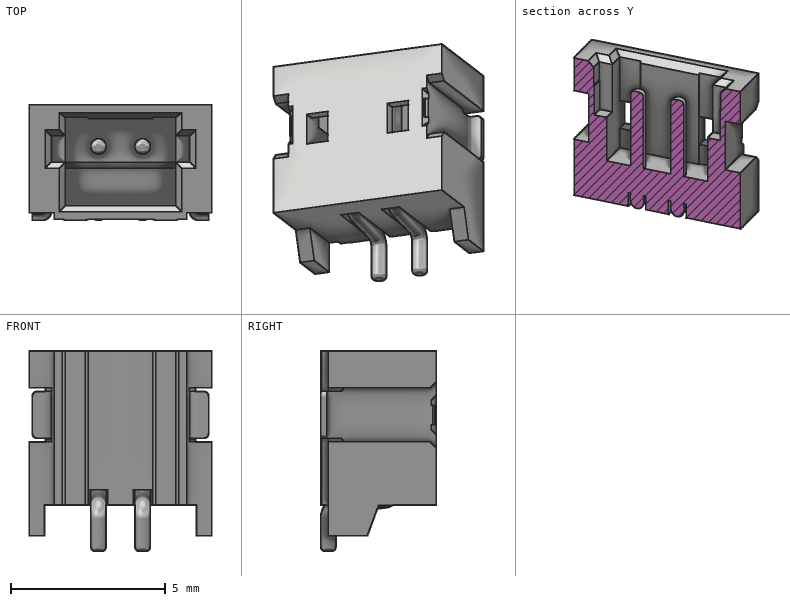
import cadquery as cq
import math


SIDES = (-1, 1)

top_z = 6.5
housing_width = 5.92
housing_depth = 3.505
housing_bottom = 1.5
front_pad_width = 4.3
front_pad_thickness = 0.21
rib_height = 0.03
rib_inner = 1.04
rib_outer = 1.885
rib_ramp = 0.1

leg_thickness = 0.5
leg_bottom = 0.5
leg_back_top = 1.865
leg_back_bottom = 2.235

cavity_half_width = 1.79
cavity_back = 0.41
cavity_front = 3.27
cavity_back_floor = 3.0
cavity_front_floor = 2.5
key_half_width = 2.25
key_back = 1.01
key_front = 1.86
key_floor = 4.58
mouth_depth = 0.2
mouth_bevel = 0.195
mouth_back_bevel = 0.14
floor_slope_length = 0.2
back_panel_half_width = 1.04
back_panel_thickness = 0.04

window_top = 4.72
window_bottom = 3.705

notch_bottom = 3.55
notch_top = 5.3
notch_flare = 0.2
notch_floor = 2.43
notch_middle = (notch_bottom + notch_top) / 2

plate_thickness = 0.2
plate_inner = notch_floor - plate_thickness
plate_top_in_key = 5.64
tab_bottom = 3.665
tab_top = 5.19
tab_tip = 2.86
tab_front = 3.75
tab_bend_radius = 0.31
tab_corner_radius = 0.16
shoulder_y = 3.02
shoulder_radius = 0.1

nick_half_height = 0.645
nick_depth = 0.16
nick_rib_half_height = 0.32
nick_rib_front = 0.11
nick_rib_back = 0.045

pin_diameter = 0.5
pin_radius = pin_diameter / 2
pin_offset = 0.715
pin_back_y = 1.35
pin_front_y = tab_front - pin_radius
pin_tip_top = 5.74
pin_upper_bend_z = 2.04
pin_lower_bend_z = 1.1
pin_bend_radius = 0.39
pin_end_radius = 0.155
pin_slot_width = 0.62
pin_slot_top = 1.995


def box(x_range, y_range, z_range):
    """Box between two limits on each axis, given in either order."""
    limits = [sorted(pair) for pair in (x_range, y_range, z_range)]
    sizes = [high - low for low, high in limits]
    corner = tuple(low for low, high in limits)
    return cq.Workplane("XY").box(*sizes, centered=False).translate(corner)


def prism_along_x(points, x_range):
    """Outline of (y, z) points extruded between two X positions."""
    start, end = sorted(x_range)
    return cq.Workplane("YZ").workplane(offset=start).polyline(points).close().extrude(end - start)


def prism_along_z(points, z_range):
    """Outline of (x, y) points extruded between two heights."""
    start, end = z_range
    return cq.Workplane("XY").workplane(offset=start).polyline(points).close().extrude(end - start)


def make_shell():
    """Solid housing block with the ribbed front pad and the two legs."""
    half = housing_width / 2
    wall_z = (housing_bottom, top_z)
    pad_y = -housing_depth - front_pad_thickness
    shell = box((-half, half), (-housing_depth, 0), wall_z)
    pad_x = (-front_pad_width / 2, front_pad_width / 2)
    shell = shell.union(box(pad_x, (pad_y, -housing_depth), wall_z))
    leg = [
        (-housing_depth, housing_bottom),
        (-housing_depth, leg_bottom),
        (-leg_back_bottom, leg_bottom),
        (-leg_back_top, housing_bottom),
    ]
    for side in SIDES:
        rib = [
            (side * rib_inner, pad_y),
            (side * (rib_inner + rib_ramp), pad_y - rib_height),
            (side * (rib_outer - rib_ramp), pad_y - rib_height),
            (side * rib_outer, pad_y),
        ]
        shell = shell.union(prism_along_z(rib, wall_z))
        shell = shell.union(prism_along_x(leg, (side * (half - leg_thickness), side * half)))
    return shell


def mouth_outline(bevel, back_bevel):
    """Cavity outline with both key slots, grown outwards by the given bevels."""
    inner = cavity_half_width + bevel
    outer = key_half_width + bevel
    front = -cavity_front - bevel
    back = -cavity_back + back_bevel
    slot_front = -key_front - bevel
    slot_back = -key_back + bevel
    right = [
        (inner, front),
        (inner, slot_front),
        (outer, slot_front),
        (outer, slot_back),
        (inner, slot_back),
        (inner, back),
    ]
    return right + [(-x, y) for x, y in reversed(right)]


def make_cavity():
    """Stepped cavity with a bevelled mouth, key slots and back windows."""
    mouth_z = top_z - mouth_depth
    cavity = (
        cq.Workplane("XY").workplane(offset=mouth_z)
        .polyline(mouth_outline(0, 0)).close()
        .workplane(offset=mouth_depth)
        .polyline(mouth_outline(mouth_bevel, mouth_back_bevel)).close()
        .loft(ruled=True)
    )
    profile = [
        (-cavity_back, mouth_z),
        (-cavity_back, cavity_back_floor),
        (-key_front, cavity_back_floor),
        (-key_front - floor_slope_length, cavity_front_floor),
        (-cavity_front, cavity_front_floor),
        (-cavity_front, mouth_z),
    ]
    cavity = cavity.union(prism_along_x(profile, (-cavity_half_width, cavity_half_width)))
    panel_y = -cavity_back - back_panel_thickness
    panel = [
        (-cavity_back, cavity_back_floor),
        (panel_y, cavity_back_floor),
        (panel_y, mouth_z - back_panel_thickness * mouth_depth / mouth_back_bevel),
        (-cavity_back, mouth_z),
    ]
    cavity = cavity.cut(prism_along_x(panel, (-back_panel_half_width, back_panel_half_width)))

    key_y = (-key_front, -key_back)
    upper_key = box((-key_half_width, key_half_width), key_y, (plate_top_in_key, mouth_z))
    lower_key = box((-plate_inner, plate_inner), key_y, (key_floor, plate_top_in_key))
    cavity = cavity.union(upper_key).union(lower_key)

    for side in SIDES:
        window_x = (side * back_panel_half_width, side * cavity_half_width)
        cavity = cavity.union(box(window_x, (-cavity_back, 0), (window_bottom, window_top)))
    return cavity


def make_notch(side):
    """Side notch flared at the back, with clearance above and below the tab."""
    outside = side * housing_width / 2
    outline = [
        (0, notch_top + notch_flare),
        (-notch_flare, notch_top),
        (-housing_depth, notch_top),
        (-housing_depth, notch_bottom),
        (-notch_flare, notch_bottom),
        (0, notch_bottom - notch_flare),
    ]
    notch = prism_along_x(outline, (side * notch_floor, outside))
    clearance_x = (side * plate_inner, side * notch_floor)
    clearance_y = (-housing_depth, -shoulder_y)
    for z_range, corner in (((tab_top, notch_top), "<Z"), ((notch_bottom, tab_bottom), ">Z")):
        clearance = box(clearance_x, clearance_y, z_range)
        notch = notch.union(clearance.faces(">Y").edges(corner).fillet(shoulder_radius))
    return notch


def make_nick(side):
    """Nick bevelled at 45 degrees in the back edge of the notch floor, less its middle rib."""
    inner = side * (notch_floor - nick_depth)
    floor = side * notch_floor
    outline = [
        (0, notch_middle + nick_half_height),
        (-nick_depth, notch_middle + nick_half_height - nick_depth),
        (-nick_depth, notch_middle - nick_half_height + nick_depth),
        (0, notch_middle - nick_half_height),
    ]
    wedge = [(inner, 0), (floor, 0), (floor, -nick_depth)]
    wedge_z = (notch_middle - nick_half_height, notch_middle + nick_half_height)
    nick = prism_along_x(outline, (inner, floor)).intersect(prism_along_z(wedge, wedge_z))
    rib = [
        (floor, -nick_depth),
        (floor, -nick_rib_front),
        (floor - side * (nick_rib_front - nick_rib_back), -nick_rib_back),
        (floor - side * (nick_depth - nick_rib_back), -nick_rib_back),
    ]
    rib_z = (notch_middle - nick_rib_half_height, notch_middle + nick_rib_half_height)
    return nick.cut(prism_along_z(rib, rib_z))


def make_tab(side):
    """Bent front end of the solder tab, reaching out of the side wall."""
    bend_y = -tab_front + tab_bend_radius
    bend_x = plate_inner + tab_bend_radius
    inner_radius = tab_bend_radius - plate_thickness
    tab = (
        cq.Workplane("XY").workplane(offset=tab_bottom)
        .moveTo(plate_inner, -shoulder_y)
        .lineTo(plate_inner, bend_y)
        .radiusArc((bend_x, -tab_front), -tab_bend_radius)
        .lineTo(tab_tip, -tab_front)
        .lineTo(tab_tip, -tab_front + plate_thickness)
        .lineTo(bend_x, -tab_front + plate_thickness)
        .radiusArc((notch_floor, bend_y), inner_radius)
        .lineTo(notch_floor, -shoulder_y)
        .close()
        .extrude(tab_top - tab_bottom)
        .faces(">X").edges("|Y").fillet(tab_corner_radius)
    )
    return tab if side > 0 else tab.mirror("YZ")


def make_pin(x):
    """Round pin: up through the cavity, sloping forward under the floor and down at the front."""
    upper_y = -pin_back_y - pin_bend_radius
    lower_y = -pin_front_y + pin_bend_radius
    forward = upper_y - lower_y
    drop = pin_upper_bend_z - pin_lower_bend_z
    slope = math.atan2(drop, forward) - math.asin(2 * pin_bend_radius / math.hypot(forward, drop))
    turn = math.pi / 2 - slope

    def upper_bend(angle):
        """Point on the upper bend after turning by an angle from the upright tip."""
        return (
            upper_y + pin_bend_radius * math.cos(angle),
            pin_upper_bend_z - pin_bend_radius * math.sin(angle),
        )

    def lower_bend(angle):
        """Point on the lower bend with an angle left to turn before the upright leg."""
        return (
            lower_y - pin_bend_radius * math.cos(angle),
            pin_lower_bend_z + pin_bend_radius * math.sin(angle),
        )

    path = (
        cq.Workplane("YZ", origin=(x, 0, 0))
        .moveTo(-pin_back_y, pin_tip_top)
        .lineTo(*upper_bend(0))
        .threePointArc(upper_bend(turn / 2), upper_bend(turn))
        .lineTo(*lower_bend(turn))
        .threePointArc(lower_bend(turn / 2), lower_bend(0))
        .lineTo(-pin_front_y, 0)
    )
    section = cq.Workplane("XY", origin=(x, -pin_back_y, pin_tip_top)).circle(pin_radius)
    pin = section.sweep(path)
    return pin.faces(">Z or <Z").edges().fillet(pin_end_radius)


def make_pin_slot(x):
    """Groove in the underside that lets the pin run out to the front."""
    half = pin_slot_width / 2
    front_y = -housing_depth - front_pad_thickness - rib_height
    return box((x - half, x + half), (front_y, -pin_back_y + half), (housing_bottom, pin_slot_top))


result = make_shell().cut(make_cavity())
for side in SIDES:
    result = result.cut(make_notch(side)).cut(make_nick(side))
    result = result.cut(make_pin_slot(side * pin_offset))
for side in SIDES:
    result = result.union(make_tab(side)).union(make_pin(side * pin_offset))